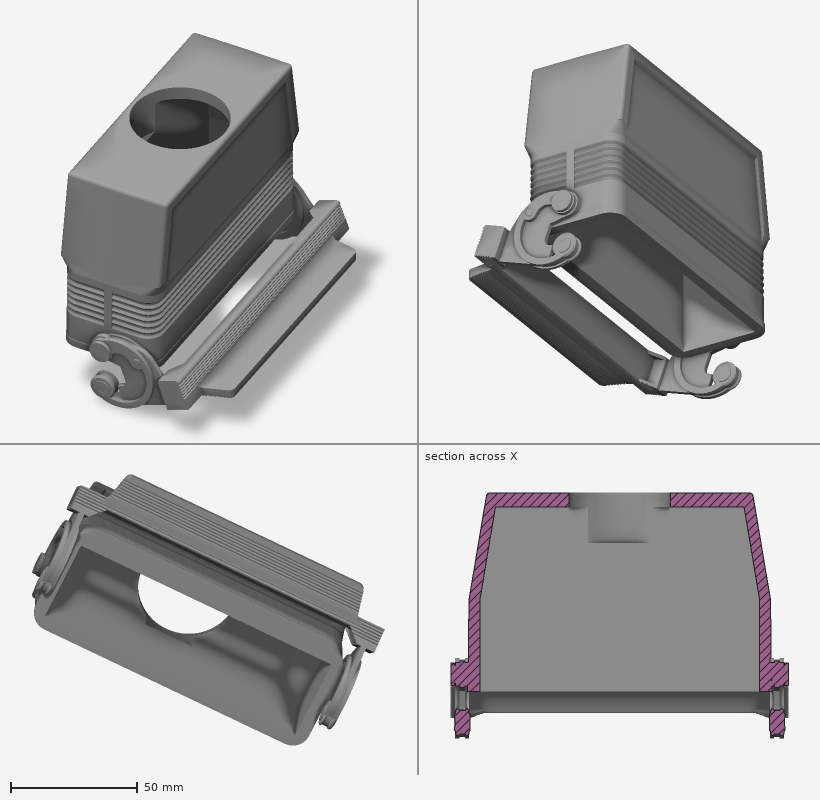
import cadquery as cq
import math


HOOD_TOP_Z = 78.87
CAP_HALF_WIDTH = 22.5
CAP_TOP_HALF_LENGTH = 52.7
CAP_BASE_HALF_LENGTH = 59.85
END_CROWN = 0.3
CAP_EDGE_RADIUS = 1.5
SHOULDER_TOP_Z = 41.7
SHOULDER_BASE_Z = 36.3
END_SLOPE = (CAP_BASE_HALF_LENGTH - CAP_TOP_HALF_LENGTH) / (HOOD_TOP_Z - SHOULDER_BASE_Z)
SHOULDER_TOP_RADIUS = 1.7

BODY_BASE_HALF_WIDTH = 21.45
BODY_BASE_HALF_LENGTH = 60.15
BODY_BASE_CORNER_RADIUS = 7.0
BODY_DRAFT = 0.3
RIM_HEIGHT = 3.0
RIM_STEP = 0.2
RIM_BEVEL = 0.4

GROOVE_COUNT = 6
GROOVE_PITCH = 3.0
GROOVE_TOP_Z = 32.85
GROOVE_MOUTH = 2.75
GROOVE_FLOOR = 0.8
GROOVE_DEPTH = 0.85
GROOVE_BAR_HALF_WIDTH = 1.7

PANEL_DEPTH = 1.0
PANEL_TOP_Z = 74.0
PANEL_TOP_HALF_LENGTH = 47.9
PANEL_SIDE_RUN = 0.9
PANEL_TOP_RUN = 1.5
PANEL_BOTTOM_Z = SHOULDER_BASE_Z + 0.3

CAVITY_MIN_X = -17.0
CAVITY_MAX_X = 15.8
WALL = 4.5
CEILING = 5.7
ENTRY_RADIUS = 20.1
ENTRY_DEPTH = 20.0

OUTER_Y = 66.95
PIN_Z = 7.0
PIN_HEAD_RADIUS = 4.5
PIN_HEAD_THICKNESS = 1.5
PIN_NECK_RADIUS = 3.6
BOSS_RADIUS = 5.4
RAISED_BOSS_RADIUS = 4.8
CHEEK_MIN_Y = 59.7
CHEEK_MAX_Y = 65.1
PLATE_MIN_Y = 61.2
PLATE_MAX_Y = 63.3
HOOK_X = 6.8
HOOK_Z = -2.6
HOOK_OUTER_RADIUS = 16.0
HOOK_INNER_RADIUS = 13.3
BRIDGE_ANGLES = (50, 80, 118)
PLATE_TOP_ANGLE = 90
PLATE_BOTTOM_ANGLE = -80
ARM_FOOT_ANGLE = -54
PLATE_INSET = 0.7
ROLLER_Z = -12.0
ROLLER_RADIUS = 5.4
ROLLER_CHAMFER = 0.6
ROLLER_HUB_RADIUS = 3.5
ROLLER_HUB_PROUD = 0.4
ROLLER_DIMPLE_RADIUS = 1.7
ROLLER_DIMPLE_DEPTH = 0.1
RIVET_X = 15.8
RIVET_Z = 6.6
RIVET_RADIUS = 1.7
RIVET_PROUD = 0.4
RIVET_CHAMFER = 0.35
RIVET_PAD_RADIUS = 3.2
BRIDGE_START = (4.8, 6.9)
BRIDGE_MIDDLE = (8.6, 8.1)
BRIDGE_END = (12.6, 5.6)
MOUTH_TOP = (7.4, 0.2)
MOUTH_SIDE = (9.5, -5.5)
MOUTH_CORNER = (9.7, -7.2)
MOUTH_BOTTOM = (8.8, -8.8)
MOUTH_TIP = (6.2, -9.9)
MOUTH_FOOT = (8.2, -15.6)
ARM_START = (14.7, 11.6)
ARM_MIDDLE = (19.0, 10.0)
ARM_END = (22.2, 6.6)
ARM_OVERLAP = 1.0

BAR_TILT = 20.0
BAR_X = 25.9
BAR_Z = 2.3
BAR_WIDTH = 10.1
BAR_HEIGHT = 13.6
BAR_EDGE_RADIUS = 1.5
BAR_INNER_EDGE_RADIUS = 0.8
NOTCH_DEPTH = 5.4
NOTCH_HALF_LENGTH = 59.3
NOTCH_GUSSET = 1.4
NOTCH_GUSSET_LENGTH = 5.6
GRIP_DEPTH = 0.5
GRIP_PITCH = 1.2
FACE_GRIP_COUNT = 6
FACE_GRIP_START = 2.2
BASE_GRIP_COUNT = 6
BASE_GRIP_START = 3.0
TAB_GRIP_COUNT = 7
TAB_GRIP_START_X = 42.0
TAB_ROOT_X = 36.5
TAB_ROOT_HALF_LENGTH = 57.7
TAB_FLARE_X = 38.2
TAB_FILLET_X = 41.2
TAB_FILLET_HALF_LENGTH = 54.6
TAB_TIP_HALF_LENGTH = 52.0
TAB_TIP_TOP_Z = -3.2
TAB_TIP_BOTTOM_Z = -7.1
TAB_TOP_Z = -4.0
TAB_BOTTOM_X = 40.0
TAB_BOTTOM_Z = -7.9
TAB_BLEND_X = 39.1
TAB_BLEND_MIDDLE_Z = -3.55
TAB_BLEND_HALF_LENGTH = 55.6
TAB_BLEND_Z = -2.1
TAB_TIP_X = 51.87
TAB_CORNER_RADIUS = 2.5


def extrude_y(profile, y_min, y_max):
    """Extrude a closed XZ profile between two Y values."""
    return profile.extrude(y_max - y_min).translate((0, y_max, 0))


def disc_y(x, z, radius, y_min, y_max):
    """Cylinder along Y."""
    return extrude_y(cq.Workplane("XZ").center(x, z).circle(radius), y_min, y_max)


def polygon_y(points, y_min, y_max):
    """Prism along Y over an XZ polygon."""
    return extrude_y(cq.Workplane("XZ").polyline(points).close(), y_min, y_max)


def mirror_both(solid):
    """The solid together with its mirror image across Y = 0."""
    return solid.union(solid.mirror("XZ"))


def rounded_outline(half_width, half_length, radius):
    """Rounded rectangle used as a loft or extrusion section."""
    return cq.Sketch().rect(2 * half_width, 2 * half_length).vertices().fillet(radius)


def ruled_loft(lower, upper, z_lower, z_upper):
    """Ruled loft between two level sketches."""
    return (
        cq.Workplane("XY")
        .placeSketch(
            lower.moved(cq.Location(cq.Vector(0, 0, z_lower))),
            upper.moved(cq.Location(cq.Vector(0, 0, z_upper))),
        )
        .loft(ruled=True)
    )


def cap_half_length(z):
    """Ridge distance of the sloping ends from the middle at height z."""
    return CAP_BASE_HALF_LENGTH - END_SLOPE * (z - SHOULDER_BASE_Z)


def cap_outline(z):
    """Plan of the cap: a rectangle whose ends are bent outward at the middle."""
    ridge = cap_half_length(z)
    corner = ridge - END_CROWN
    width = CAP_HALF_WIDTH
    points = [(width, corner), (0, ridge), (-width, corner), (-width, -corner), (0, -ridge), (width, -corner)]
    return cq.Sketch().polygon(points + points[:1])


def cap():
    """Upper hood with rounded edges, pointed at the bottom of each end."""
    block = ruled_loft(cap_outline(SHOULDER_BASE_Z), cap_outline(HOOD_TOP_Z), SHOULDER_BASE_Z, HOOD_TOP_Z)
    upright = block.edges("not #Z").filter(lambda edge: abs(edge.Center().x) > CAP_HALF_WIDTH / 2)
    block = upright.add(block.faces(">Z").edges()).fillet(CAP_EDGE_RADIUS)
    house = [
        (0, SHOULDER_BASE_Z),
        (CAP_HALF_WIDTH, SHOULDER_TOP_Z),
        (CAP_HALF_WIDTH, HOOD_TOP_Z),
        (-CAP_HALF_WIDTH, HOOD_TOP_Z),
        (-CAP_HALF_WIDTH, SHOULDER_TOP_Z),
    ]
    return block.intersect(polygon_y(house, -OUTER_Y, OUTER_Y))


def body_outline(z, offset=0.0):
    """Plan of the tapering body at height z, optionally grown by an offset."""
    growth = offset - BODY_DRAFT * z / SHOULDER_BASE_Z
    return rounded_outline(
        BODY_BASE_HALF_WIDTH + growth, BODY_BASE_HALF_LENGTH + growth, BODY_BASE_CORNER_RADIUS + growth
    )


def shoulder():
    """Blend from the rounded body up to the sharp-cornered cap."""
    top_half_length = cap_half_length(SHOULDER_TOP_Z) - END_CROWN
    return ruled_loft(
        body_outline(SHOULDER_BASE_Z),
        rounded_outline(CAP_HALF_WIDTH, top_half_length, SHOULDER_TOP_RADIUS),
        SHOULDER_BASE_Z,
        SHOULDER_TOP_Z,
    )


def body():
    """Slightly tapered lower hood with the band around its mouth."""
    bevel_top = RIM_HEIGHT + RIM_BEVEL
    rim_outline = body_outline(0, RIM_STEP)
    rim = cq.Workplane("XY").placeSketch(rim_outline).extrude(RIM_HEIGHT)
    bevel = ruled_loft(rim_outline, body_outline(bevel_top), RIM_HEIGHT, bevel_top)
    walls = ruled_loft(body_outline(bevel_top), body_outline(SHOULDER_BASE_Z), bevel_top, SHOULDER_BASE_Z)
    return walls.union(bevel).union(rim)


def grip_groove(z_top):
    """Ring-shaped trapezoidal groove, interrupted by the upright end bars."""
    z_bottom = z_top - GROOVE_MOUTH
    z_middle = z_top - GROOVE_MOUTH / 2
    floor_top = z_middle + GROOVE_FLOOR / 2
    floor_bottom = z_middle - GROOVE_FLOOR / 2
    upper_floor = body_outline(floor_top, -GROOVE_DEPTH)
    lower_floor = body_outline(floor_bottom, -GROOVE_DEPTH)
    core = ruled_loft(body_outline(z_bottom), lower_floor, z_bottom, floor_bottom)
    core = core.union(ruled_loft(lower_floor, upper_floor, floor_bottom, floor_top))
    core = core.union(ruled_loft(upper_floor, body_outline(z_top), floor_top, z_top))

    outer_width = 2 * (BODY_BASE_HALF_WIDTH + GROOVE_DEPTH)
    outer_length = 2 * (BODY_BASE_HALF_LENGTH + GROOVE_DEPTH)
    end_bars = cq.Workplane("XY").box(2 * GROOVE_BAR_HALF_WIDTH, outer_length, GROOVE_MOUTH)
    block = cq.Workplane("XY").box(outer_width, outer_length, GROOVE_MOUTH)
    return block.cut(end_bars).translate((0, 0, z_middle)).cut(core)


def side_panel():
    """Cutter for the shallow trapezoidal panel in the -X side."""

    def outline(side_run, top_run):
        top_half = PANEL_TOP_HALF_LENGTH - side_run
        bottom_half = top_half + END_SLOPE * (PANEL_TOP_Z - PANEL_BOTTOM_Z)
        top_z = PANEL_TOP_Z - top_run
        top_half = top_half + END_SLOPE * top_run
        return [
            (-bottom_half, PANEL_BOTTOM_Z),
            (bottom_half, PANEL_BOTTOM_Z),
            (top_half, top_z),
            (-top_half, top_z),
        ]

    return (
        cq.Workplane("YZ", origin=(-CAP_HALF_WIDTH, 0, 0))
        .polyline(outline(0, 0)).close()
        .workplane(offset=PANEL_DEPTH)
        .polyline(outline(PANEL_SIDE_RUN, PANEL_TOP_RUN)).close()
        .loft(ruled=True)
    )


def cavity():
    """Inside of the hood, open at the mouth, with ends following the outer slope."""
    ceiling_z = HOOD_TOP_Z - CEILING
    mouth_half = CAP_BASE_HALF_LENGTH - WALL
    ceiling_half = cap_half_length(ceiling_z) - WALL
    return (
        cq.Workplane("YZ", origin=(CAVITY_MIN_X, 0, 0))
        .polyline([
            (-mouth_half, 0),
            (mouth_half, 0),
            (mouth_half, SHOULDER_BASE_Z),
            (ceiling_half, ceiling_z),
            (-ceiling_half, ceiling_z),
            (-mouth_half, SHOULDER_BASE_Z),
        ])
        .close()
        .extrude(CAVITY_MAX_X - CAVITY_MIN_X)
    )


def hood():
    """Complete hood: grooved and panelled shell with its cavity and cable entry."""
    shell = body().union(shoulder()).union(cap())
    for index in range(GROOVE_COUNT):
        shell = shell.cut(grip_groove(GROOVE_TOP_Z - index * GROOVE_PITCH))
    panel = side_panel()
    shell = shell.cut(panel).cut(panel.mirror("YZ"))
    entry_floor = cq.Workplane("XY", origin=(0, 0, HOOD_TOP_Z - ENTRY_DEPTH))
    entry = entry_floor.circle(ENTRY_RADIUS).extrude(ENTRY_DEPTH)
    return shell.cut(cavity()).cut(entry)


def hook_arc(radius, angle):
    """Point on a circle about the hook centre; the angle is in degrees from +X."""
    turn = math.radians(angle)
    return (HOOK_X + radius * math.cos(turn), HOOK_Z + radius * math.sin(turn))


def hook_ring(outer_radius, y_min, y_max):
    """C-shaped stretch of the lever that runs from the pivot round to the roller."""
    ring = disc_y(HOOK_X, HOOK_Z, outer_radius, y_min, y_max)
    ring = ring.cut(disc_y(HOOK_X, HOOK_Z, HOOK_INNER_RADIUS, y_min, y_max))
    open_side = [
        (0, -2 * HOOK_OUTER_RADIUS),
        (0, 2 * HOOK_OUTER_RADIUS),
        (-HOOK_OUTER_RADIUS, 2 * HOOK_OUTER_RADIUS),
        (-HOOK_OUTER_RADIUS, -2 * HOOK_OUTER_RADIUS),
    ]
    return ring.cut(polygon_y(open_side, y_min, y_max))


def lever_cheek(y_min, y_max):
    """Raised layer of the lever: pivot boss, bridge, hook, rivet pad and roller flange."""
    span = (y_min, y_max)
    inside_hook = (HOOK_OUTER_RADIUS + HOOK_INNER_RADIUS) / 2
    outer_edge = [hook_arc(inside_hook, angle) for angle in BRIDGE_ANGLES]
    bridge = extrude_y(
        cq.Workplane("XZ")
        .moveTo(0, PIN_Z)
        .lineTo(*BRIDGE_START)
        .threePointArc(BRIDGE_MIDDLE, BRIDGE_END)
        .lineTo(RIVET_X, RIVET_Z)
        .lineTo(*outer_edge[0])
        .threePointArc(outer_edge[1], outer_edge[2])
        .close(),
        *span,
    )
    pad = disc_y(RIVET_X, RIVET_Z, RIVET_PAD_RADIUS, *span)
    pad = pad.intersect(disc_y(HOOK_X, HOOK_Z, HOOK_OUTER_RADIUS, *span))
    flange = disc_y(0, ROLLER_Z, ROLLER_RADIUS, *span).edges().chamfer(ROLLER_CHAMFER)
    boss = disc_y(0, PIN_Z, RAISED_BOSS_RADIUS, *span)
    return hook_ring(HOOK_OUTER_RADIUS, *span).union(bridge).union(pad).union(flange).union(boss)


def lever_plate():
    """Thin middle layer: fills the hook and carries the arm to the handle bar."""
    span = (PLATE_MIN_Y, PLATE_MAX_Y)
    plate_radius = HOOK_OUTER_RADIUS - PLATE_INSET
    web = extrude_y(
        cq.Workplane("XZ")
        .moveTo(0, PIN_Z - BOSS_RADIUS)
        .lineTo(*MOUTH_TOP)
        .lineTo(*MOUTH_SIDE)
        .threePointArc(MOUTH_CORNER, MOUTH_BOTTOM)
        .lineTo(*MOUTH_TIP)
        .lineTo(*MOUTH_FOOT)
        .lineTo(*hook_arc(plate_radius, PLATE_BOTTOM_ANGLE))
        .lineTo(*hook_arc(HOOK_OUTER_RADIUS, ARM_FOOT_ANGLE))
        .lineTo(*bar_point(0, BAR_HEIGHT))
        .lineTo(*bar_point(ARM_OVERLAP, BAR_HEIGHT - ARM_OVERLAP))
        .lineTo(*bar_point(ARM_OVERLAP, ARM_OVERLAP))
        .lineTo(*bar_point(0, ARM_OVERLAP))
        .lineTo(*ARM_END)
        .threePointArc(ARM_MIDDLE, ARM_START)
        .lineTo(*hook_arc(plate_radius, PLATE_TOP_ANGLE))
        .lineTo(0, PIN_Z)
        .close(),
        *span,
    )
    boss = disc_y(0, PIN_Z, BOSS_RADIUS, *span)
    roller = disc_y(0, ROLLER_Z, ROLLER_RADIUS - PLATE_INSET, *span)
    return hook_ring(plate_radius, *span).union(web).union(boss).union(roller)


def lever_hardware():
    """Pivot pin, roller hub and rivet of the lever at the +Y end."""
    neck = disc_y(0, PIN_Z, PIN_NECK_RADIUS, CAP_BASE_HALF_LENGTH - WALL / 2, OUTER_Y)
    head = disc_y(0, PIN_Z, PIN_HEAD_RADIUS, OUTER_Y - PIN_HEAD_THICKNESS, OUTER_Y)
    hub_min_y = CHEEK_MIN_Y - ROLLER_HUB_PROUD
    hub_max_y = CHEEK_MAX_Y + ROLLER_HUB_PROUD
    hub = disc_y(0, ROLLER_Z, ROLLER_HUB_RADIUS, hub_min_y, hub_max_y)
    hub = hub.cut(disc_y(0, ROLLER_Z, ROLLER_DIMPLE_RADIUS, hub_max_y - ROLLER_DIMPLE_DEPTH, hub_max_y))
    rivet = disc_y(RIVET_X, RIVET_Z, RIVET_RADIUS, CHEEK_MIN_Y, CHEEK_MAX_Y + RIVET_PROUD)
    rivet = rivet.faces(">Y").edges().chamfer(RIVET_CHAMFER)
    return neck.union(head).union(hub).union(rivet)


def bar_point(across, down):
    """XZ point measured from the upper inner edge of the tilted handle bar."""
    turn = math.radians(BAR_TILT)
    x = BAR_X + across * math.cos(turn) + down * math.sin(turn)
    z = BAR_Z + across * math.sin(turn) - down * math.cos(turn)
    return (x, z)


def handle_bar():
    """Tilted bar joining both levers, thinned along its middle."""
    bar = polygon_y(
        [
            bar_point(0, 0),
            bar_point(BAR_WIDTH, 0),
            bar_point(BAR_WIDTH, BAR_HEIGHT),
            bar_point(0, BAR_HEIGHT),
        ],
        -OUTER_Y,
        OUTER_Y,
    )
    bar = bar.edges("|Y and >Z").fillet(BAR_EDGE_RADIUS).edges("|Y and <X").fillet(BAR_INNER_EDGE_RADIUS)
    gusset_end = NOTCH_HALF_LENGTH - NOTCH_GUSSET_LENGTH
    bevelled = bar_cutter(
        [
            (0, NOTCH_HALF_LENGTH),
            (NOTCH_DEPTH, gusset_end),
            (NOTCH_DEPTH, -gusset_end),
            (0, -NOTCH_HALF_LENGTH),
        ],
        0,
        BAR_HEIGHT,
    )
    square = bar_cutter(
        [
            (0, NOTCH_HALF_LENGTH),
            (NOTCH_DEPTH, NOTCH_HALF_LENGTH),
            (NOTCH_DEPTH, -NOTCH_HALF_LENGTH),
            (0, -NOTCH_HALF_LENGTH),
        ],
        NOTCH_GUSSET,
        BAR_HEIGHT - NOTCH_GUSSET,
    )
    bar = bar.cut(bevelled).cut(square)
    for index in range(FACE_GRIP_COUNT):
        bar = bar.cut(serration(*bar_point(BAR_WIDTH, FACE_GRIP_START + index * GRIP_PITCH)))
    for index in range(BASE_GRIP_COUNT):
        bar = bar.cut(serration(*bar_point(BASE_GRIP_START + index * GRIP_PITCH, BAR_HEIGHT)))
    return bar


def bar_cutter(outline, down_min, down_max):
    """Prism in the tilted frame of the bar: outline (across, Y), between two depths below its top."""
    return (
        cq.Workplane("XY", origin=(0, 0, -down_max))
        .polyline(outline)
        .close()
        .extrude(down_max - down_min)
        .rotate((0, 0, 0), (0, 1, 0), -BAR_TILT)
        .translate((BAR_X, 0, BAR_Z))
    )


def serration(x, z):
    """Square rod along Y, tilted by 45 degrees to the bar, that cuts one V serration."""
    rod = cq.Workplane("XZ").rect(math.sqrt(2) * GRIP_DEPTH, math.sqrt(2) * GRIP_DEPTH)
    rod = extrude_y(rod, -OUTER_Y, OUTER_Y)
    return rod.rotate((0, 0, 0), (0, 1, 0), 45 - BAR_TILT).translate((x, 0, z))


def handle_tab():
    """Finger tab along the outer side of the bar, narrowing towards its tip."""
    slab = extrude_y(
        cq.Workplane("XZ")
        .moveTo(TAB_ROOT_X, TAB_BLEND_Z)
        .lineTo(TAB_FLARE_X, TAB_BLEND_Z)
        .threePointArc((TAB_BLEND_X, TAB_BLEND_MIDDLE_Z), (TAB_FILLET_X, TAB_TOP_Z))
        .lineTo(TAB_TIP_X, TAB_TIP_TOP_Z)
        .lineTo(TAB_TIP_X, TAB_TIP_BOTTOM_Z)
        .lineTo(TAB_BOTTOM_X, TAB_BOTTOM_Z)
        .lineTo(TAB_ROOT_X, TAB_BOTTOM_Z)
        .close(),
        -OUTER_Y,
        OUTER_Y,
    )
    bottom_slope = (TAB_TIP_BOTTOM_Z - TAB_BOTTOM_Z) / (TAB_TIP_X - TAB_BOTTOM_X)
    for index in range(TAB_GRIP_COUNT):
        x = TAB_GRIP_START_X + index * GRIP_PITCH
        slab = slab.cut(serration(x, TAB_BOTTOM_Z + bottom_slope * (x - TAB_BOTTOM_X)))
    plan = (
        cq.Workplane("XY", origin=(0, 0, TAB_BOTTOM_Z))
        .moveTo(TAB_ROOT_X, -TAB_ROOT_HALF_LENGTH)
        .lineTo(TAB_FLARE_X, -TAB_ROOT_HALF_LENGTH)
        .threePointArc((TAB_BLEND_X, -TAB_BLEND_HALF_LENGTH), (TAB_FILLET_X, -TAB_FILLET_HALF_LENGTH))
        .lineTo(TAB_TIP_X, -TAB_TIP_HALF_LENGTH)
        .lineTo(TAB_TIP_X, TAB_TIP_HALF_LENGTH)
        .lineTo(TAB_FILLET_X, TAB_FILLET_HALF_LENGTH)
        .threePointArc((TAB_BLEND_X, TAB_BLEND_HALF_LENGTH), (TAB_FLARE_X, TAB_ROOT_HALF_LENGTH))
        .lineTo(TAB_ROOT_X, TAB_ROOT_HALF_LENGTH)
        .close()
        .extrude(TAB_BLEND_Z - TAB_BOTTOM_Z)
        .edges("|Z and >X")
        .fillet(TAB_CORNER_RADIUS)
    )
    return slab.intersect(plan)


def lever():
    """Complete lever at the +Y end."""
    inner_cheek = lever_cheek(CHEEK_MIN_Y, PLATE_MIN_Y)
    outer_cheek = lever_cheek(PLATE_MAX_Y, CHEEK_MAX_Y)
    return lever_plate().union(inner_cheek).union(outer_cheek).union(lever_hardware())


handle = handle_bar().union(handle_tab())
result = hood().union(mirror_both(lever()).union(handle))